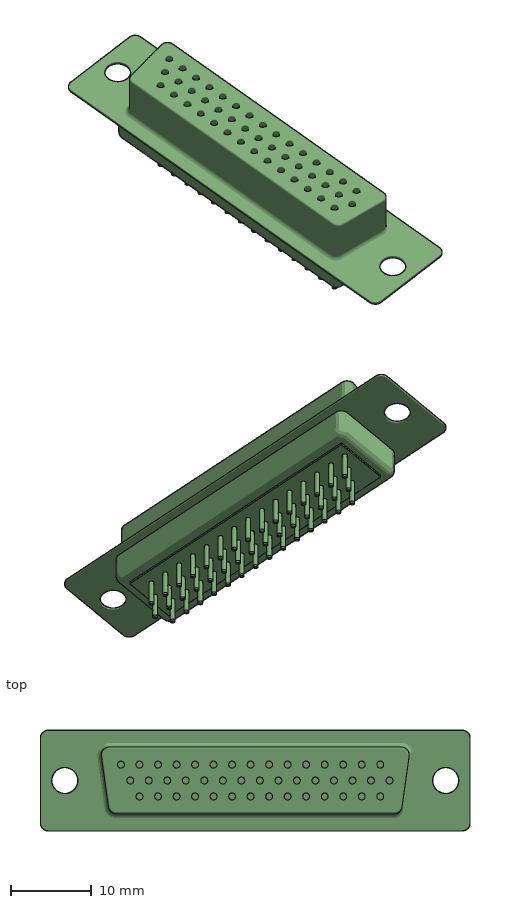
import cadquery as cq
import math


overall_height = 14.7

flange_length = 53.1
flange_width = 12.5
flange_thickness = 0.35
flange_corner_radius = 1.0
flange_edge_radius = 0.08
mount_hole_diameter = 3.2
mount_hole_spacing = 47.05

shell_height = 6.1
shell_width = 8.3
shell_long_side = 38.35
shell_side_angle = 8.0
shell_corner_radius = 1.0
shell_root_radius = 0.65
shell_rim_radius = 0.25

housing_length = 37.95
housing_width = 10.4
housing_bottom = -4.35
housing_corner_radius = 1.05
housing_bottom_radius = 0.95

step_length = 35.05
step_width = 7.3
step_bottom = -4.65

full_row_count = 15
full_row_span = 32.0
contact_pitch = full_row_span / (full_row_count - 1)
row_spacing = 1.95
socket_diameter = 0.85
socket_depth = 3.2
socket_mouth_radius = 0.1
pin_diameter = 0.65
pin_tip_chamfer = 0.15
pin_bottom = shell_height - overall_height

row_stagger = contact_pitch / 4
contact_rows = [
    (full_row_count, -row_stagger, row_spacing),
    (full_row_count, row_stagger, 0),
    (full_row_count - 1, row_stagger, -row_spacing),
]
contact_points = [
    (middle + (i - (count - 1) / 2) * contact_pitch, y)
    for count, middle, y in contact_rows
    for i in range(count)
]


def make_flange():
    """Plate with rounded corners and mounting holes, the rims of both faces rounded over."""
    plate = (
        cq.Workplane("XY")
        .box(flange_length, flange_width, flange_thickness, centered=(True, True, False))
        .edges("|Z")
        .fillet(flange_corner_radius)
        .faces(">Z")
        .workplane()
        .pushPoints([(-mount_hole_spacing / 2, 0), (mount_hole_spacing / 2, 0)])
        .hole(mount_hole_diameter)
        .faces("|Z")
        .edges()
        .fillet(flange_edge_radius)
    )
    return plate.translate((0, 0, -flange_thickness))


def make_shell():
    half_long = shell_long_side / 2
    half_short = half_long - shell_width * math.tan(math.radians(shell_side_angle))
    half_width = shell_width / 2
    return (
        cq.Workplane("XY")
        .polyline([
            (-half_long, half_width),
            (half_long, half_width),
            (half_short, -half_width),
            (-half_short, -half_width),
        ])
        .close()
        .extrude(shell_height)
        .edges("|Z")
        .fillet(shell_corner_radius)
        .faces(">Z")
        .edges()
        .fillet(shell_rim_radius)
    )


def round_shell_root(body):
    """Blend the foot of the shell into the flange."""
    reach_x = shell_long_side / 2 + shell_root_radius
    reach_y = shell_width / 2 + shell_root_radius
    reach_z = flange_edge_radius / 2
    foot = cq.selectors.BoxSelector((-reach_x, -reach_y, -reach_z), (reach_x, reach_y, reach_z))
    return body.edges(foot).fillet(shell_root_radius)


def make_housing():
    depth = -flange_thickness - housing_bottom
    housing = (
        cq.Workplane("XY")
        .box(housing_length, housing_width, depth, centered=(True, True, False))
        .edges("|Z")
        .fillet(housing_corner_radius)
        .faces("<Z")
        .edges()
        .fillet(housing_bottom_radius)
    )
    return housing.translate((0, 0, housing_bottom))


def make_step():
    step = cq.Workplane("XY").box(
        step_length, step_width, housing_bottom - step_bottom, centered=(True, True, False)
    )
    return step.translate((0, 0, step_bottom))


def make_pins():
    return (
        cq.Workplane("XY", origin=(0, 0, step_bottom))
        .pushPoints(contact_points)
        .circle(pin_diameter / 2)
        .extrude(pin_bottom - step_bottom)
        .faces("<Z")
        .edges()
        .chamfer(pin_tip_chamfer)
    )


def cut_sockets(body):
    """Bore a blind, round-mouthed socket for every contact."""
    bore_radius = socket_diameter / 2
    mouth_radius = bore_radius + socket_mouth_radius
    cutter = (
        cq.Workplane("XZ")
        .moveTo(0, -socket_depth)
        .lineTo(bore_radius, -socket_depth)
        .lineTo(bore_radius, -socket_mouth_radius)
        .radiusArc((mouth_radius, 0), socket_mouth_radius)
        .lineTo(0, 0)
        .close()
        .revolve(360, (0, 0, 0), (0, 1, 0))
        .val()
    )
    sockets = cq.Workplane("XY").pushPoints(contact_points).eachpoint(cutter)
    return body.cut(sockets.translate((0, 0, shell_height)))


body = round_shell_root(make_flange().union(make_shell()))
body = body.union(make_housing()).union(make_step()).union(make_pins())
result = cut_sockets(body)